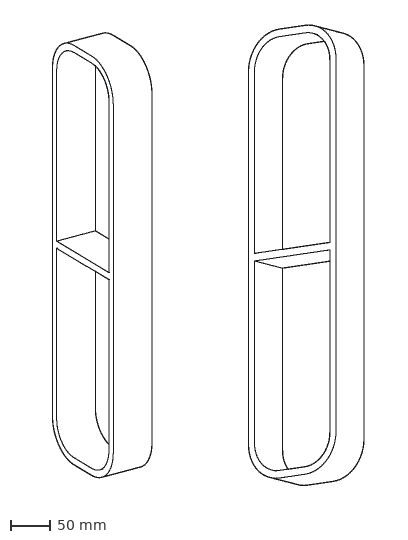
import cadquery as cq

width = 140.5
depth = 60.0
height = 586.0

wall = 10.0
corner_radius = 50.0


def rounded_bar(inset):
    """Upright bar with rounded corners, its outline moved inward by the inset."""
    return (
        cq.Workplane("XY")
        .box(width - 2 * inset, depth, height - 2 * inset)
        .edges("|Y")
        .fillet(corner_radius - inset)
    )


frame = rounded_bar(0).cut(rounded_bar(wall))

shelf = cq.Workplane("XY").box(width - wall, depth, wall)

result = frame.union(shelf)